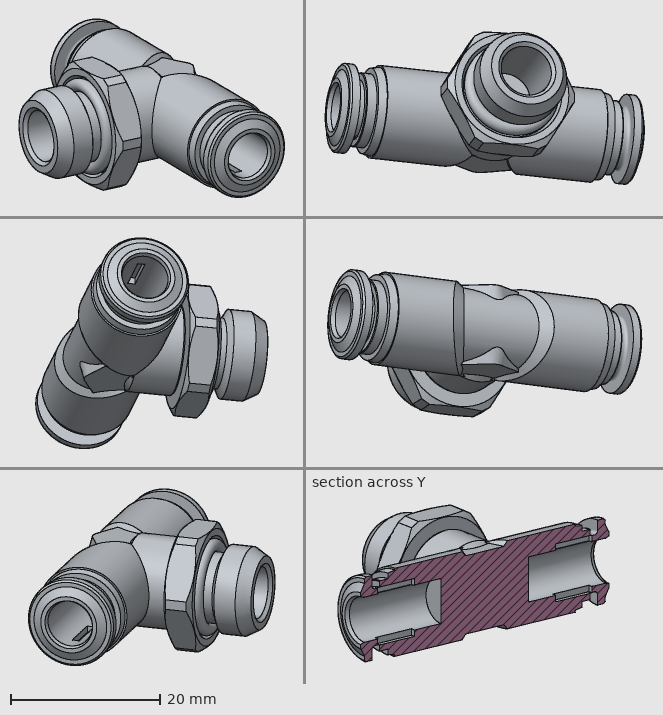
import cadquery as cq
import math


TUBE_RADIUS = 6.25
TUBE_HALF_LENGTH = 15.35
BRANCH_RADIUS = 6.25
BRANCH_TOP_Y = -2.5
BRANCH_END_Y = -8.7
BRANCH_EDGE_CHAMFER = 0.2

WAIST_RADIUS = 5.5
WAIST_OUTER_X = 7.4
WAIST_OUTER_SLOPE = 0.57
WAIST_BACK_WALL_RUN = 1.9
WAIST_SIDE_WALL_RUN = 0.65
WAIST_END_ANGLE = 112
WAIST_SECTIONS = 9
WAIST_CUTTER_INNER_RADIUS = 5.0
WAIST_CUTTER_OUTER_RADIUS = 7.0

PAD_Z = 5.55
PAD_DEPTH = 2.5
PAD_HALF_WIDTH = 4.17
PAD_SHOULDER_Y = 1.73
PAD_SLOPE_ANGLE = 29
PAD_APEX_RADIUS = 1.75
PAD_DRAFT = 15

RING_OUTER_RADIUS = 6.0
RING_TIP_RADIUS = 5.78
RING_END_X = 16.5
SLEEVE_RADIUS = 5.0
SLEEVE_END_X = 17.92
SLEEVE_CHAMFER = 0.12
COLLET_NECK_RADIUS = 4.05
COLLET_FILLET = 0.45
FLANGE_RADIUS = 6.02
FLANGE_INNER_X = 19.1
FLANGE_OUTER_X = 20.45
FLANGE_EDGE_CHAMFER = 0.27
NOSE_BASE_RADIUS = 5.14
NOSE_TIP_RADIUS = 3.95
COLLET_END_X = 21.1
SOCKET_RADIUS = 3.15
SOCKET_MOUTH_RADIUS = 3.36
SOCKET_MOUTH_DEPTH = 0.6
SOCKET_FLOOR_X = 7.5
SLIT_WIDTH = 1.0
SLIT_START_X = 18.12
SLIT_END_X = 12.0

STUD_STEM_RADIUS = 4.7
HEX_TOP_Y = -8.95
HEX_HEIGHT = 4.0
HEX_BOTTOM_Y = HEX_TOP_Y - HEX_HEIGHT
HEX_ACROSS_FLATS = 16.0
HEX_ACROSS_CORNERS = 17.7
HEX_FACE_RADIUS = 7.93
HEX_CHAMFER_ANGLE = 30
GROOVE_MOUTH_RADIUS = 6.97
GROOVE_FLOOR_RADIUS = 6.5
NECK_RADIUS = 4.8
NECK_END_Y = -14.68
THREAD_RADIUS = 6.05
THREAD_TOP_Y = -15.38
THREAD_BOTTOM_Y = -18.37
STUD_END_Y = -20.25
STUD_END_RADIUS = 4.98
STUD_BORE_RADIUS = 3.5
STUD_BORE_CHAMFER = 0.48
STUD_BORE_FLOOR_Y = -9.7

ORING_SECTION_RADIUS = 0.875
ORING_CENTRE_RADIUS = NECK_RADIUS + ORING_SECTION_RADIUS
ORING_CENTRE_Y = -12.83
GROOVE_FLOOR_Y = ORING_CENTRE_Y + ORING_SECTION_RADIUS


def revolve_about_x(outline):
    """Revolve a closed (x, radius) outline about the X axis."""
    return cq.Workplane("XY").polyline(outline).close().revolve(360, (0, 0), (1, 0))


def revolve_about_y(outline):
    """Revolve a closed (radius, y) outline about the Y axis."""
    return cq.Workplane("XY").polyline(outline).close().revolve(360, (0, 0), (0, 1))


def waist_section(angle):
    """Trapezium across the recess wall, in the half-plane at this angle around X from +Y."""
    towards_back = math.cos(math.radians(angle))
    outer_x = WAIST_OUTER_X - WAIST_OUTER_SLOPE * TUBE_RADIUS * (1 - towards_back)
    wall_run = WAIST_SIDE_WALL_RUN + (WAIST_BACK_WALL_RUN - WAIST_SIDE_WALL_RUN) * towards_back
    flare = wall_run / (TUBE_RADIUS - WAIST_RADIUS)
    bottom_x = outer_x - flare * (TUBE_RADIUS - WAIST_CUTTER_INNER_RADIUS)
    top_x = outer_x + flare * (WAIST_CUTTER_OUTER_RADIUS - TUBE_RADIUS)
    corners = [
        (-bottom_x, WAIST_CUTTER_INNER_RADIUS),
        (bottom_x, WAIST_CUTTER_INNER_RADIUS),
        (top_x, WAIST_CUTTER_OUTER_RADIUS),
        (-top_x, WAIST_CUTTER_OUTER_RADIUS),
    ]
    away = math.sin(math.radians(angle))
    points = [cq.Vector(x, r * towards_back, r * away) for x, r in corners]
    return cq.Wire.makePolygon(points, close=True)


def make_waist_cutter():
    step = 2 * WAIST_END_ANGLE / (WAIST_SECTIONS - 1)
    sections = [waist_section(-WAIST_END_ANGLE + i * step) for i in range(WAIST_SECTIONS)]
    loft = cq.Workplane(cq.Solid.makeLoft(sections))
    core = cq.Workplane("YZ").circle(WAIST_RADIUS).extrude(WAIST_OUTER_X, both=True)
    return loft.cut(core)


def make_pad():
    """Drafted pentagonal pad with a flat top and a rounded apex towards +Y."""
    slope = math.radians(PAD_SLOPE_ANGLE)
    sharp_apex_y = PAD_SHOULDER_Y + PAD_HALF_WIDTH * math.tan(slope)
    arc_centre_y = sharp_apex_y - PAD_APEX_RADIUS / math.cos(slope)
    arc_half_width = PAD_APEX_RADIUS * math.sin(slope)
    arc_end_y = arc_centre_y + PAD_APEX_RADIUS * math.cos(slope)
    pad = (
        cq.Workplane("XY", origin=(0, 0, PAD_Z))
        .moveTo(-PAD_HALF_WIDTH, BRANCH_TOP_Y)
        .lineTo(PAD_HALF_WIDTH, BRANCH_TOP_Y)
        .lineTo(PAD_HALF_WIDTH, PAD_SHOULDER_Y)
        .lineTo(arc_half_width, arc_end_y)
        .threePointArc((0, arc_centre_y + PAD_APEX_RADIUS), (-arc_half_width, arc_end_y))
        .lineTo(-PAD_HALF_WIDTH, PAD_SHOULDER_Y)
        .close()
    )
    return pad.extrude(-PAD_DEPTH, taper=-PAD_DRAFT)


def make_branch():
    taper = BRANCH_RADIUS - WAIST_RADIUS
    return revolve_about_y([
        (0, BRANCH_END_Y),
        (BRANCH_RADIUS - BRANCH_EDGE_CHAMFER, BRANCH_END_Y),
        (BRANCH_RADIUS, BRANCH_END_Y + BRANCH_EDGE_CHAMFER),
        (BRANCH_RADIUS, BRANCH_TOP_Y),
        (WAIST_RADIUS, BRANCH_TOP_Y + taper),
        (0, BRANCH_TOP_Y + taper),
    ])


def make_socket_end():
    """Stepped ring, sleeve and collet at the +X end of the run, as one solid of revolution."""
    profile = (
        cq.Workplane("XY")
        .moveTo(SOCKET_FLOOR_X, 0)
        .lineTo(SOCKET_FLOOR_X, COLLET_NECK_RADIUS)
        .lineTo(TUBE_HALF_LENGTH, COLLET_NECK_RADIUS)
        .lineTo(TUBE_HALF_LENGTH, RING_OUTER_RADIUS)
        .lineTo(RING_END_X, RING_TIP_RADIUS)
        .lineTo(RING_END_X, SLEEVE_RADIUS)
        .lineTo(SLEEVE_END_X - SLEEVE_CHAMFER, SLEEVE_RADIUS)
        .lineTo(SLEEVE_END_X, SLEEVE_RADIUS - SLEEVE_CHAMFER)
        .lineTo(SLEEVE_END_X, COLLET_NECK_RADIUS)
        .lineTo(FLANGE_INNER_X - COLLET_FILLET, COLLET_NECK_RADIUS)
        .radiusArc((FLANGE_INNER_X, COLLET_NECK_RADIUS + COLLET_FILLET), -COLLET_FILLET)
        .lineTo(FLANGE_INNER_X, FLANGE_RADIUS)
        .lineTo(FLANGE_OUTER_X - FLANGE_EDGE_CHAMFER, FLANGE_RADIUS)
        .lineTo(FLANGE_OUTER_X, FLANGE_RADIUS - FLANGE_EDGE_CHAMFER)
        .lineTo(FLANGE_OUTER_X, NOSE_BASE_RADIUS)
        .lineTo(COLLET_END_X, NOSE_TIP_RADIUS)
        .lineTo(COLLET_END_X, 0)
        .close()
    )
    return profile.revolve(360, (0, 0), (1, 0))


def make_socket_bore():
    """Blind tube bore with a tapered mouth, and the slits that split the collet wall."""
    bore = revolve_about_x([
        (SOCKET_FLOOR_X, 0),
        (SOCKET_FLOOR_X, SOCKET_RADIUS),
        (COLLET_END_X - SOCKET_MOUTH_DEPTH, SOCKET_RADIUS),
        (COLLET_END_X, SOCKET_MOUTH_RADIUS),
        (COLLET_END_X, 0),
    ])
    slit_length = SLIT_START_X - SLIT_END_X
    slit_middle_x = (SLIT_START_X + SLIT_END_X) / 2
    slit = cq.Workplane("XY").box(slit_length, SLIT_WIDTH, 2 * TUBE_RADIUS)
    slit = slit.translate((slit_middle_x, 0, 0))
    collet_wall = cq.Workplane("YZ").circle(COLLET_NECK_RADIUS).extrude(COLLET_END_X)
    return bore.union(slit.intersect(collet_wall))


def make_tee():
    tee = cq.Workplane("YZ").circle(TUBE_RADIUS).extrude(TUBE_HALF_LENGTH, both=True)
    tee = tee.cut(make_waist_cutter())
    tee = tee.union(make_branch())
    pad = make_pad()
    tee = tee.union(pad).union(pad.mirror("XY"))
    end = make_socket_end()
    bore = make_socket_bore()
    tee = tee.union(end).union(end.mirror("YZ"))
    return tee.cut(bore).cut(bore.mirror("YZ"))


def make_hexagon():
    """Hexagon with a corner on X, flat-cut corners and conical chamfers on both faces."""
    corner_diameter = HEX_ACROSS_FLATS / math.cos(math.radians(30))
    cut_diameter = HEX_ACROSS_CORNERS / math.cos(math.radians(30))
    plane = cq.Workplane("XZ", origin=(0, HEX_TOP_Y, 0))
    hexagon = plane.polygon(6, corner_diameter).extrude(HEX_HEIGHT)
    corner_cut = plane.polygon(6, cut_diameter).extrude(HEX_HEIGHT)
    corner_cut = corner_cut.rotate((0, 0, 0), (0, 1, 0), 30)
    cone_radius = corner_diameter / 2
    cone_height = (cone_radius - HEX_FACE_RADIUS) * math.tan(math.radians(HEX_CHAMFER_ANGLE))
    cones = revolve_about_y([
        (0, HEX_TOP_Y),
        (HEX_FACE_RADIUS, HEX_TOP_Y),
        (cone_radius, HEX_TOP_Y - cone_height),
        (cone_radius, HEX_BOTTOM_Y + cone_height),
        (HEX_FACE_RADIUS, HEX_BOTTOM_Y),
        (0, HEX_BOTTOM_Y),
    ])
    return hexagon.intersect(corner_cut).intersect(cones)


def make_stud():
    groove = revolve_about_y([
        (0, GROOVE_FLOOR_Y),
        (GROOVE_FLOOR_RADIUS, GROOVE_FLOOR_Y),
        (GROOVE_MOUTH_RADIUS, HEX_BOTTOM_Y),
        (0, HEX_BOTTOM_Y),
    ])
    shank = revolve_about_y([
        (0, BRANCH_END_Y),
        (STUD_STEM_RADIUS, BRANCH_END_Y),
        (STUD_STEM_RADIUS, HEX_TOP_Y),
        (NECK_RADIUS, HEX_TOP_Y),
        (NECK_RADIUS, NECK_END_Y),
        (THREAD_RADIUS, THREAD_TOP_Y),
        (THREAD_RADIUS, THREAD_BOTTOM_Y),
        (STUD_END_RADIUS, STUD_END_Y),
        (0, STUD_END_Y),
    ])
    bore = revolve_about_y([
        (0, STUD_BORE_FLOOR_Y),
        (STUD_BORE_RADIUS, STUD_BORE_FLOOR_Y),
        (STUD_BORE_RADIUS, STUD_END_Y + STUD_BORE_CHAMFER),
        (STUD_BORE_RADIUS + STUD_BORE_CHAMFER, STUD_END_Y),
        (0, STUD_END_Y),
    ])
    return make_hexagon().cut(groove).union(shank).cut(bore)


def make_oring():
    section = cq.Workplane("XY").center(ORING_CENTRE_RADIUS, ORING_CENTRE_Y).circle(ORING_SECTION_RADIUS)
    return section.revolve(360, (-ORING_CENTRE_RADIUS, 0), (-ORING_CENTRE_RADIUS, 1))


tee = make_tee()
stud = make_stud()
oring = make_oring()

result = cq.Compound.makeCompound([tee.val(), stud.val(), oring.val()])